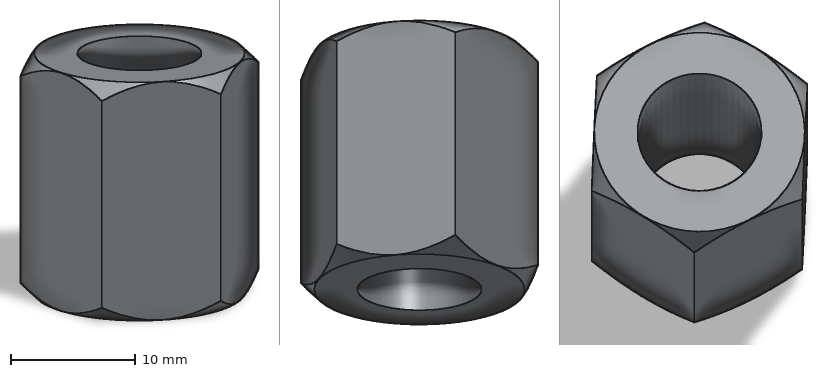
import cadquery as cq
import math

height = 20.0
across_flats = 17.0
bore_diameter = 10.0
end_face_diameter = 16.95

across_corners = across_flats / math.cos(math.radians(30))
chamfer = (across_corners - end_face_diameter) / 2


def hex_body():
    """Hexagonal prism with two corners on the Y axis."""
    return (
        cq.Workplane("XY")
        .transformed(rotate=(0, 0, 90))
        .polygon(6, across_corners)
        .extrude(height)
    )


def turned_envelope():
    """Cylinder through the hexagon corners, chamfered at both ends."""
    return (
        cq.Workplane("XY")
        .circle(across_corners / 2)
        .extrude(height)
        .faces("<Z or >Z")
        .edges()
        .chamfer(chamfer)
    )


def bore():
    """Plain hole through the full height."""
    return cq.Workplane("XY").circle(bore_diameter / 2).extrude(height)


result = hex_body().intersect(turned_envelope()).cut(bore())